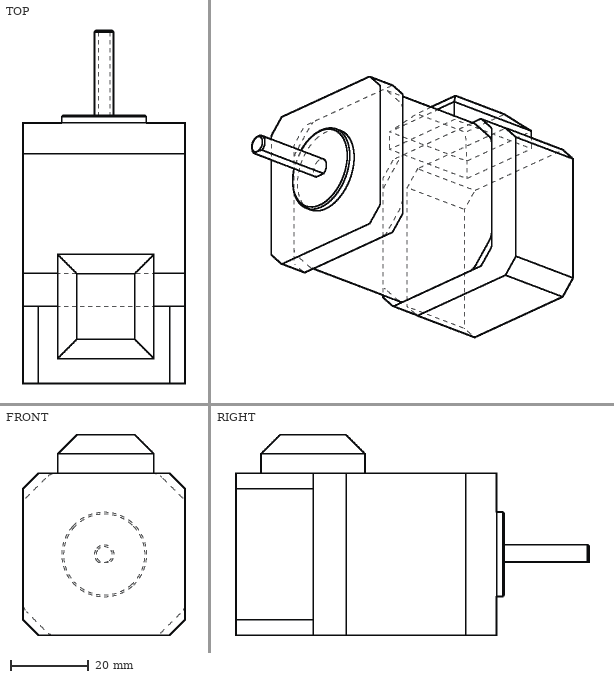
import cadquery as cq


BODY_WIDTH = 42.0
PLATE_CORNER_CHAMFER = 4.0
PLATE_CORNER_FILLET = 0.8
STATOR_CORNER_CHAMFER = 7.0
STATOR_CORNER_FILLET = 3.0

REAR_COVER_LENGTH = 20.0
REAR_CAP_LENGTH = 8.5
STATOR_LENGTH = 31.0
FLANGE_LENGTH = 8.0
PILOT_LENGTH = 2.0
OVERALL_LENGTH = 91.5

REAR_CAP_Y = REAR_COVER_LENGTH
STATOR_Y = REAR_CAP_Y + REAR_CAP_LENGTH
FLANGE_Y = STATOR_Y + STATOR_LENGTH
PILOT_Y = FLANGE_Y + FLANGE_LENGTH
SHAFT_Y = PILOT_Y + PILOT_LENGTH
SHAFT_LENGTH = OVERALL_LENGTH - SHAFT_Y

PILOT_DIAMETER = 22.0
PILOT_CHAMFER = 0.5

SHAFT_DIAMETER = 5.0
SHAFT_FLAT_DEPTH = 0.5
SHAFT_TIP_CHAMFER = 0.5

CONNECTOR_WIDTH = 25.0
CONNECTOR_LENGTH = 27.0
CONNECTOR_HEIGHT = 10.0
CONNECTOR_CHAMFER = CONNECTOR_HEIGHT / 2
CONNECTOR_X_OFFSET = 0.5
CONNECTOR_REAR_Y = 6.5


def cross_section(y_start):
    """Workplane square to the motor axis whose extrusions run toward +Y."""
    return cq.Workplane("XZ", origin=(0, y_start, 0)).transformed(rotate=(0, 180, 0))


def square_prism(y_start, length, corner_chamfer):
    """Square housing section with its four long corners cut at 45 degrees."""
    return (
        cross_section(y_start)
        .rect(BODY_WIDTH, BODY_WIDTH)
        .extrude(length)
        .edges("|Y")
        .chamfer(corner_chamfer)
    )


def make_rear_cover():
    return square_prism(0, REAR_COVER_LENGTH, PLATE_CORNER_CHAMFER)


def make_rear_cap():
    cap = square_prism(REAR_CAP_Y, REAR_CAP_LENGTH, PLATE_CORNER_CHAMFER)
    return cap.edges("|Y").fillet(PLATE_CORNER_FILLET)


def make_stator():
    stator = square_prism(STATOR_Y, STATOR_LENGTH, STATOR_CORNER_CHAMFER)
    return stator.edges("|Y").fillet(STATOR_CORNER_FILLET)


def make_front_flange():
    """Front plate with the round pilot boss that centres the motor."""
    plate = square_prism(FLANGE_Y, FLANGE_LENGTH, PLATE_CORNER_CHAMFER)
    plate = plate.edges("|Y").fillet(PLATE_CORNER_FILLET)
    pilot = (
        cross_section(PILOT_Y)
        .circle(PILOT_DIAMETER / 2)
        .extrude(PILOT_LENGTH)
        .faces(">Y")
        .chamfer(PILOT_CHAMFER)
    )
    return plate.union(pilot)


def make_shaft():
    """Round shaft with a chamfered tip and a flat along its full length."""
    shaft = (
        cross_section(SHAFT_Y)
        .circle(SHAFT_DIAMETER / 2)
        .extrude(SHAFT_LENGTH)
        .faces(">Y")
        .chamfer(SHAFT_TIP_CHAMFER)
    )
    flat_cut = cq.Workplane("XY").box(
        SHAFT_DIAMETER, SHAFT_LENGTH, SHAFT_FLAT_DEPTH, centered=(True, False, False)
    )
    return shaft.cut(flat_cut.translate((0, SHAFT_Y, -SHAFT_DIAMETER / 2)))


def make_connector():
    """Block across the housing joints, sloped at 45 degrees on all four upper sides."""
    block = cq.Workplane("XY").box(
        CONNECTOR_WIDTH, CONNECTOR_LENGTH, CONNECTOR_HEIGHT, centered=(True, False, False)
    )
    block = block.faces(">Z").chamfer(CONNECTOR_CHAMFER)
    return block.translate((CONNECTOR_X_OFFSET, CONNECTOR_REAR_Y, BODY_WIDTH / 2))


rear_cover = make_rear_cover()
rear_cap = make_rear_cap()
stator = make_stator()
front_flange = make_front_flange()
shaft = make_shaft()
connector = make_connector()

result = cq.Compound.makeCompound(
    [
        rear_cover.val(),
        rear_cap.val(),
        stator.val(),
        front_flange.val(),
        shaft.val(),
        connector.val(),
    ]
)